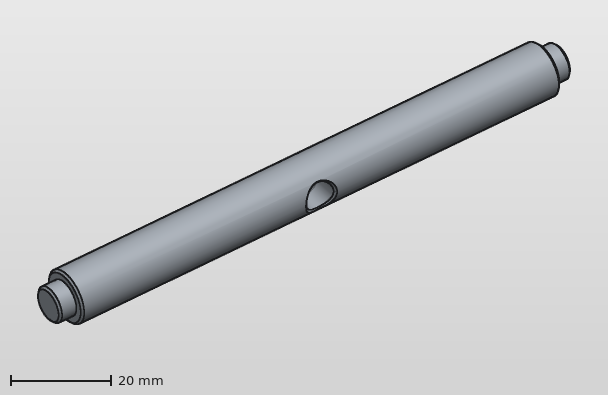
import cadquery as cq

overall_length = 126.0
rod_diameter = 12.0
pin_diameter = 8.1
pin_length = 4.0
pin_chamfer = 0.5
hole_diameter = 6.7
hole_chamfer = 0.5

rod_length = overall_length - 2 * pin_length
rod_radius = rod_diameter / 2


def cylinder_along_y(diameter, length):
    """Solid cylinder along Y, centred on the origin."""
    return cq.Workplane("XZ").circle(diameter / 2).extrude(length / 2, both=True)


pins = cylinder_along_y(pin_diameter, overall_length).faces("<Y or >Y").chamfer(pin_chamfer)
result = cylinder_along_y(rod_diameter, rod_length).union(pins)

cross_hole = cq.Workplane("YZ").circle(hole_diameter / 2).extrude(rod_radius, both=True)
result = result.cut(cross_hole)
hole_wall = result.faces(cq.selectors.NearestToPointSelector((0, 0, 0)))
result = hole_wall.edges("not |X").chamfer(hole_chamfer)